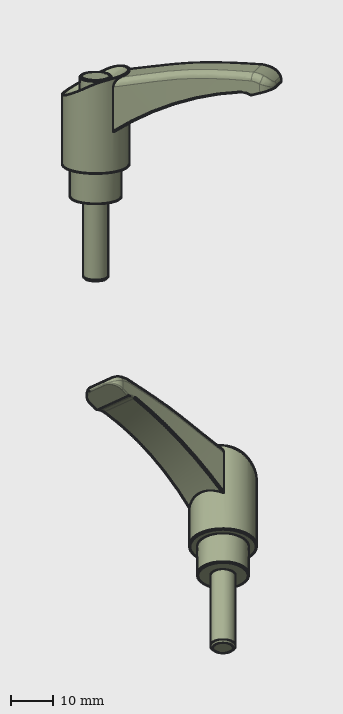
import cadquery as cq


stud_diameter = 6.0
stud_length = 20.0
stud_chamfer = 0.6
collar_diameter = 12.25
collar_length = 8.0
collar_chamfer = 0.25
body_radius = 8.0
body_bottom = stud_length + collar_length
body_bottom_chamfer = 0.25

low_side_height = 45.0
slant_slope = 0.52
slant_end_x = 0.5
high_side_height = 51.4

rim_width = 0.3
dish_radius = body_radius - rim_width
dish_depth = 3.2
dish_guide_radius = 3.8

button_diameter = 7.6
button_top = 49.85
button_chamfer = 0.35
button_root_depth = 12.0
button_base = button_top - button_root_depth

overall_length = 53.01
arm_root_x = 5.0
top_root = (arm_root_x, 50.7)
top_root_direction = (1, 0.18)
top_middle = (22.5, 54.0)
top_height = 54.91
top_end = (39.8, top_height)
tip_middle = (43.0, 53.9)
arm_tip = (overall_length - body_radius, 52.05)
tip_edge_height = 0.7
tip_lower = (arm_tip[0], arm_tip[1] - tip_edge_height)
lip_corner = (39.6, 49.6)
lip_top = (38.3, 50.05)
under_end = (37.2, 50.1)
under_middle = (21.5, 46.15)
under_root = (arm_root_x, 37.3)

root_half_width = 5.5
waist_x = 25.0
waist_half_width = 4.8
tip_half_width = 5.3
tip_corner_radius = 3.2
arm_top_fillet = 1.7
arm_under_fillet = 0.3

steep_limit = 0.1
end_limit = 0.99


def cylinder(radius, bottom, top):
    return cq.Workplane("XY", origin=(0, 0, bottom)).circle(radius).extrude(top - bottom)


def slanted_cylinder(radius):
    """Upright cylinder from the body bottom up to the slanted top."""
    slant_end_height = low_side_height + slant_slope * (slant_end_x + body_radius)
    profile = (
        cq.Workplane("XZ")
        .moveTo(-body_radius, body_bottom)
        .lineTo(-body_radius, low_side_height)
        .lineTo(slant_end_x, slant_end_height)
        .tangentArcPoint((body_radius, high_side_height), relative=False)
        .lineTo(body_radius, body_bottom)
        .close()
        .extrude(body_radius, both=True)
    )
    return profile.intersect(cylinder(radius, body_bottom, top_height))


def dish_tool():
    """Solid between the slanted top and a smooth bowl hung from its rim."""
    core = slanted_cylinder(dish_radius)
    lids = [face for face in core.faces().vals() if face.normalAt().z > steep_limit]
    edges = [edge for lid in lids for edge in lid.Edges()]
    rim = [edge for edge in edges if sum(edge.isSame(other) for other in edges) == 1]
    centre_height = low_side_height + slant_slope * body_radius
    guide_depth = dish_depth * (1 - (dish_guide_radius / dish_radius) ** 2)
    guides = [cq.Vector(0, 0, centre_height - dish_depth)]
    for x, y in [(1, 0), (-1, 0), (0, 1), (0, -1)]:
        guide_x = x * dish_guide_radius
        guide_height = centre_height + slant_slope * guide_x - guide_depth
        guides.append(cq.Vector(guide_x, y * dish_guide_radius, guide_height))
    bowl = cq.Face.makeNSidedSurface(rim, guides)
    return cq.Workplane(cq.Solid.makeSolid(cq.Shell.makeShell(lids + [bowl])))


def make_body():
    body = slanted_cylinder(body_radius).faces("<Z").edges().chamfer(body_bottom_chamfer)
    collar = cylinder(collar_diameter / 2, stud_length, body_bottom)
    collar = collar.faces("<Z").edges().chamfer(collar_chamfer)
    stud = cylinder(stud_diameter / 2, 0, stud_length).faces("<Z").edges().chamfer(stud_chamfer)
    return body.union(collar).union(stud)


def make_button():
    button = cylinder(button_diameter / 2, button_base, button_top)
    return button.faces(">Z").edges().chamfer(button_chamfer)


def make_arm():
    side = (
        cq.Workplane("XZ", origin=(0, body_radius, 0))
        .moveTo(*top_root)
        .spline([top_middle, top_end], tangents=[top_root_direction, (1, 0)], includeCurrent=True)
        .threePointArc(tip_middle, arm_tip)
        .lineTo(*tip_lower)
        .lineTo(*lip_corner)
        .lineTo(*lip_top)
        .lineTo(*under_end)
        .threePointArc(under_middle, under_root)
        .close()
        .extrude(2 * body_radius)
    )
    plan = (
        cq.Workplane("XY")
        .moveTo(arm_root_x, -root_half_width)
        .threePointArc((waist_x, -waist_half_width), (arm_tip[0], -tip_half_width))
        .lineTo(arm_tip[0], tip_half_width)
        .threePointArc((waist_x, waist_half_width), (arm_root_x, root_half_width))
        .close()
        .extrude(top_height)
        .edges("|Z and >X")
        .fillet(tip_corner_radius)
    )
    return side.intersect(plan)


def side_edges(solid, faces):
    """Edges where the given faces meet the upright sides and tip corners of the arm."""
    sides = [
        face
        for face in solid.Faces()
        if abs(face.normalAt().z) < steep_limit and abs(face.normalAt().x) < end_limit
    ]
    rim_of_sides = [edge for side in sides for edge in side.Edges()]
    rim_of_faces = [edge for face in faces for edge in face.Edges()]
    return [edge for edge in rim_of_faces if any(edge.isSame(other) for other in rim_of_sides)]


def round_arm(arm):
    """Round the arm's long edges: generously on top, slightly underneath."""
    rounded = arm.val()
    for direction, radius in [(1, arm_top_fillet), (-1, arm_under_fillet)]:
        faces = [face for face in rounded.Faces() if direction * face.normalAt().z > steep_limit]
        rounded = rounded.fillet(radius, side_edges(rounded, faces))
    return cq.Workplane(rounded)


arm = round_arm(make_arm())
result = make_body().union(arm).cut(dish_tool()).union(make_button())